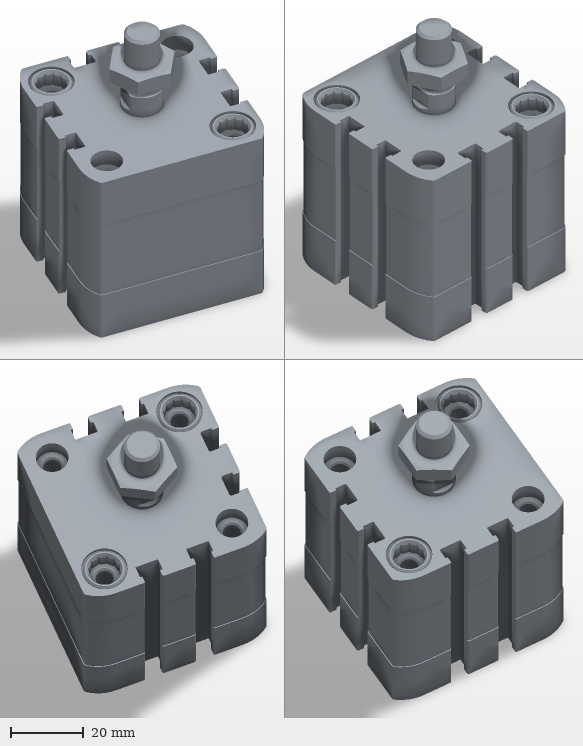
import cadquery as cq
import math


housing_width = 54.5
housing_height = 54.95
cap_height = 15.0
barrel_inset = 0.25
corner_arc_radius = 12.9
side_corner_fillet = 1.05

slot_depth = 5.5
lip_thickness = 2.1
chamber_inner = 4.2
chamber_outer = 10.9
mouth_inner = 5.0
mouth_outer = 10.25
rib_fillet = 0.6
outer_lip_fillet = 0.3
side_floor_fillet = 0.5

hole_spacing = 37.9
through_diameter = 4.9
hole_mouth_diameter = 6.0
counterbore_diameter = 9.0
counterbore_depth = 4.9

groove_diameter = 12.8
groove_depth = 1.0
head_diameter = 11.9
head_top_diameter = 10.8
head_chamfer_height = 0.7
socket_mouth_diameter = 10.0
socket_bore_diameter = 8.6
socket_cone_depth = 1.3
socket_flats = 8.0

total_height = 80.7
rod_diameter = 12.0
rod_shoulder_z = 61.7
wrench_flats = 10.0
wrench_flat_z = 56.9
flat_runout_angle = 30.0
neck_root_diameter = 8.55
neck_diameter = 8.2
neck_collar_diameter = 8.5
neck_taper_height = 0.5
neck_step_z = 63.0
neck_collar_z = 63.3
thread_diameter = 10.0
thread_start_z = 65.45
thread_chamfer = 0.8

nut_flats = 17.0
nut_height = 5.0
nut_z = 65.7
nut_face_diameter = 16.8
nut_corner_drop = 0.3


def cone(lower_diameter, upper_diameter, z, height):
    """Truncated cone on the Z axis that starts at height z."""
    return cq.Workplane("XY").add(
        cq.Solid.makeCone(lower_diameter / 2, upper_diameter / 2, height, cq.Vector(0, 0, z))
    )


def cylinder(diameter, z, height):
    """Cylinder on the Z axis that starts at height z."""
    return cq.Workplane("XY").workplane(offset=z).circle(diameter / 2).extrude(height)


def fillet_upright_edges(body, places, radius):
    """Round the edges parallel to Z that pass through the given (x, y) places."""
    def at_a_place(edge):
        center = edge.Center()
        return any(math.hypot(center.x - x, center.y - y) < 0.01 for x, y in places)

    return body.newObject([e for e in body.edges("|Z").vals() if at_a_place(e)]).fillet(radius)


def rounded_block(half_width, z, height):
    """Square block whose +Y and -Y faces curve away towards the four corners."""
    arc_center = hole_spacing / 2

    def arc_y(x):
        reach = x - arc_center
        return half_width - corner_arc_radius + math.sqrt(corner_arc_radius**2 - reach**2)

    middle_x = (arc_center + half_width) / 2
    end_y = arc_y(half_width)
    middle_y = arc_y(middle_x)
    block = (
        cq.Workplane("XY").workplane(offset=z)
        .moveTo(-arc_center, half_width)
        .lineTo(arc_center, half_width)
        .threePointArc((middle_x, middle_y), (half_width, end_y))
        .lineTo(half_width, -end_y)
        .threePointArc((middle_x, -middle_y), (arc_center, -half_width))
        .lineTo(-arc_center, -half_width)
        .threePointArc((-middle_x, -middle_y), (-half_width, -end_y))
        .lineTo(-half_width, end_y)
        .threePointArc((-middle_x, middle_y), (-arc_center, half_width))
        .close().extrude(height)
    )
    corners = [(sx * half_width, sy * end_y) for sx in (-1, 1) for sy in (-1, 1)]
    return fillet_upright_edges(block, corners, side_corner_fillet)


def slot_pair(floor_fillet):
    """Cutter for the two T-slots of the +Y face, over the full housing height."""
    face = housing_width / 2
    chamber_depth = slot_depth - lip_thickness
    chamber_width = chamber_outer - chamber_inner
    chamber_middle = (chamber_inner + chamber_outer) / 2
    mouth_width = mouth_outer - mouth_inner
    mouth_middle = (mouth_inner + mouth_outer) / 2
    pair = cq.Workplane("XY")
    for side in (-1, 1):
        chamber = (
            cq.Workplane("XY")
            .center(side * chamber_middle, face - lip_thickness - chamber_depth / 2)
            .rect(chamber_width, chamber_depth).extrude(housing_height)
        )
        if floor_fillet > 0:
            chamber = chamber.edges("|Z and <Y").fillet(floor_fillet)
        mouth = (
            cq.Workplane("XY")
            .center(side * mouth_middle, face - lip_thickness / 2)
            .rect(mouth_width, lip_thickness).extrude(housing_height)
        )
        pair = pair.add(chamber.union(mouth))
    return pair.combine()


def turned(x, y, angle):
    """Place (x, y) turned about the Z axis by an angle in degrees."""
    a = math.radians(angle)
    return (x * math.cos(a) - y * math.sin(a), x * math.sin(a) + y * math.cos(a))


def housing_section(half_width, z, height):
    """One cap or the barrel: a rounded block with T-slots in three faces."""
    section = rounded_block(half_width, z, height)
    for angle, floor_fillet in ((0, 0), (90, side_floor_fillet), (180, 0)):
        section = section.cut(slot_pair(floor_fillet).rotate((0, 0, 0), (0, 0, 1), angle))
        for mouth_x, radius in ((mouth_inner, rib_fillet), (mouth_outer, outer_lip_fillet)):
            places = [turned(side * mouth_x, half_width, angle) for side in (-1, 1)]
            section = fillet_upright_edges(section, places, radius)
    return section


def mounting_hole():
    """Cutter for a through hole with a chamfered mouth at the counterbore floor."""
    floor_z = housing_height - counterbore_depth
    mouth_height = (hole_mouth_diameter - through_diameter) / 2
    hole = cylinder(through_diameter, 0, floor_z)
    return hole.union(cone(through_diameter, hole_mouth_diameter, floor_z - mouth_height, mouth_height))


def counterbore():
    """Cutter for the plain counterbore of a mounting hole."""
    return cylinder(counterbore_diameter, housing_height - counterbore_depth, counterbore_depth)


def screw_socket():
    """Cutter for the twelve-point socket with its conical mouth."""
    floor_z = housing_height - counterbore_depth
    socket = cylinder(socket_bore_diameter, floor_z, counterbore_depth)
    for angle in (0, 30):
        hexagon = (
            cq.Workplane("XY").workplane(offset=floor_z)
            .polygon(6, socket_flats, circumscribed=True)
            .extrude(counterbore_depth)
            .rotate((0, 0, 0), (0, 0, 1), angle)
        )
        socket = socket.union(hexagon)
    mouth = cone(
        socket_bore_diameter, socket_mouth_diameter, housing_height - socket_cone_depth, socket_cone_depth
    )
    return socket.union(mouth)


def screw_head_groove():
    """Cutter for the ring groove around a chamfered collar screw head."""
    floor_z = housing_height - groove_depth
    chamfer_z = housing_height - head_chamfer_height
    head = cylinder(head_diameter, floor_z, groove_depth - head_chamfer_height)
    head = head.union(cone(head_diameter, head_top_diameter, chamfer_z, head_chamfer_height))
    return cylinder(groove_diameter, floor_z, groove_depth).cut(head)


def make_housing():
    half_width = housing_width / 2
    barrel_height = housing_height - 2 * cap_height
    upper_cap_z = housing_height - cap_height
    housing = housing_section(half_width, 0, cap_height)
    housing = housing.union(housing_section(half_width - barrel_inset, cap_height, barrel_height))
    housing = housing.union(housing_section(half_width, upper_cap_z, cap_height))

    for sx in (-1, 1):
        for sy in (-1, 1):
            place = (sx * hole_spacing / 2, sy * hole_spacing / 2, 0)
            housing = housing.cut(mounting_hole().translate(place))
            if sx == sy:
                housing = housing.cut(screw_head_groove().translate(place))
                housing = housing.cut(screw_socket().translate(place))
            else:
                housing = housing.cut(counterbore().translate(place))

    rod_bore = cylinder(rod_diameter, upper_cap_z, cap_height)
    return housing.cut(rod_bore)


def make_piston_rod():
    """Turned rod that starts in the upper cap, with two wrench flats."""
    rod_foot_z = housing_height - cap_height
    rod_radius = rod_diameter / 2
    neck_radius = neck_diameter / 2
    collar_radius = neck_collar_diameter / 2
    thread_radius = thread_diameter / 2

    flare_width = thread_radius - collar_radius
    flare_height = thread_start_z - neck_collar_z
    flare_radius = (flare_width**2 + flare_height**2) / (2 * flare_width)
    half_angle = math.asin(flare_height / flare_radius) / 2
    flare_middle = (
        collar_radius + flare_radius * (1 - math.cos(half_angle)),
        neck_collar_z + flare_radius * math.sin(half_angle),
    )

    rod = (
        cq.Workplane("XZ")
        .moveTo(0, rod_foot_z)
        .lineTo(rod_radius, rod_foot_z)
        .lineTo(rod_radius, rod_shoulder_z)
        .lineTo(neck_root_diameter / 2, rod_shoulder_z)
        .lineTo(neck_radius, rod_shoulder_z + neck_taper_height)
        .lineTo(neck_radius, neck_step_z)
        .lineTo(collar_radius, neck_collar_z)
        .threePointArc(flare_middle, (thread_radius, thread_start_z))
        .lineTo(thread_radius, total_height - thread_chamfer)
        .lineTo(thread_radius - thread_chamfer, total_height)
        .lineTo(0, total_height)
        .close().revolve(360, (0, 0, 0), (0, 1, 0))
    )

    flat_y = wrench_flats / 2
    runout_drop = (rod_radius - flat_y) * math.tan(math.radians(flat_runout_angle))
    flat_cutter = (
        cq.Workplane("YZ")
        .polyline([
            (flat_y, wrench_flat_z),
            (rod_radius, wrench_flat_z - runout_drop),
            (rod_radius, rod_shoulder_z),
            (flat_y, rod_shoulder_z),
        ])
        .close().extrude(rod_radius, both=True)
    )
    return rod.cut(flat_cutter).cut(flat_cutter.mirror("XZ"))


def make_nut():
    """Hexagon nut with two flats square to X and chamfered corners on both faces."""
    top_z = nut_z + nut_height
    nut = (
        cq.Workplane("XY").workplane(offset=nut_z)
        .polygon(6, nut_flats, circumscribed=True)
        .extrude(nut_height)
    )
    face_radius = nut_face_diameter / 2
    corner_radius = nut_flats / math.sqrt(3)
    chamfer_envelope = (
        cq.Workplane("XZ")
        .polyline([
            (0, nut_z),
            (face_radius, nut_z),
            (corner_radius, nut_z + nut_corner_drop),
            (corner_radius, top_z - nut_corner_drop),
            (face_radius, top_z),
            (0, top_z),
        ])
        .close().revolve(360, (0, 0, 0), (0, 1, 0))
    )
    return nut.intersect(chamfer_envelope).cut(cylinder(thread_diameter, nut_z, nut_height))


housing = make_housing()
piston_rod = make_piston_rod()
nut = make_nut()

result = cq.Compound.makeCompound([housing.val(), piston_rod.val(), nut.val()])